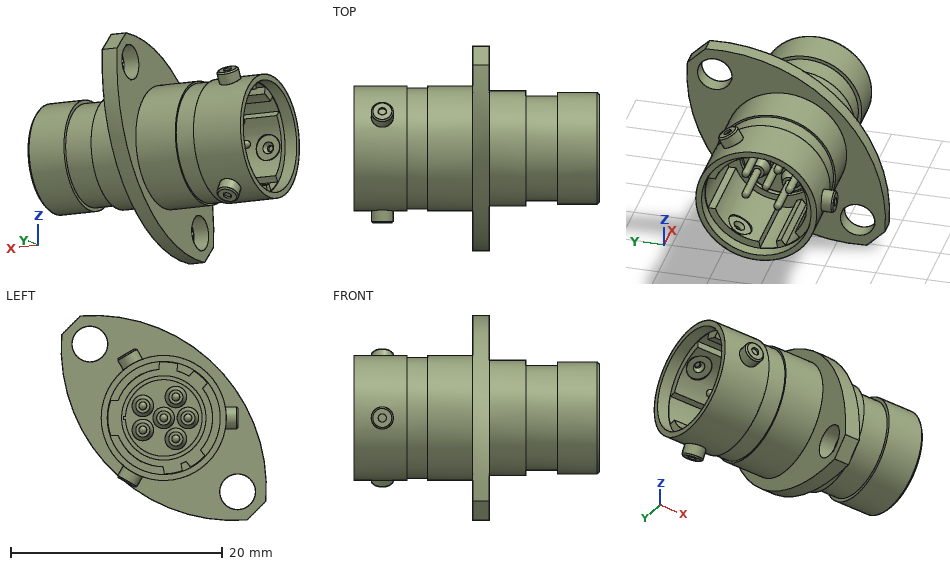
import cadquery as cq
import math


TOTAL_LENGTH = 23.3
FRONT_RADIUS = 5.93
FRONT_GROOVE_RADIUS = 5.75
FRONT_GROOVE_START = 5.05
FRONT_GROOVE_END = 7.0
SHOULDER_RADIUS = 5.48
SHOULDER_END = 16.3
REAR_NECK_RADIUS = 4.98
REAR_COLLAR_START = 19.3
REAR_COLLAR_RADIUS = 5.32
REAR_CHAMFER = 0.25

FLANGE_START = 11.25
FLANGE_THICKNESS = 1.6
FLANGE_HALF_SIZE = 9.68
FLANGE_TIP_CUT = 1.79
FLANGE_HALF_WIDTH = 6.98
MOUNT_HOLE_OFFSET = 7.0
MOUNT_HOLE_RADIUS = 1.68

MOUTH_RADIUS = 5.36
MOUTH_DEPTH = 1.25
CAVITY_RADIUS = 4.63
CAVITY_DEPTH = 9.0
KEYWAY_RADIUS = 5.3
KEYWAY_WIDTH = 1.73
KEYWAY_ANGLES = (85, 48, -52, -80)
MAIN_KEYWAY_WIDTH = 3.3
MAIN_KEYWAY_ANGLE = 180

INSERT_GROOVE_OUTER_RADIUS = 4.0
INSERT_GROOVE_INNER_RADIUS = 3.63
INSERT_GROOVE_DEPTH = 0.5
INSERT_KEY_WIDTH = 0.25
INSERT_KEY_HEIGHT = 0.2

PIN_RADIUS = 0.375
PIN_TIP = 3.37
PIN_CIRCLE_RADIUS = 2.29
PIN_ANGLES = (0, 60, 150, -150, -60)
PIN_COLLAR_BASE_RADIUS = 1.02
PIN_COLLAR_TOP_RADIUS = 0.67
PIN_COLLAR_HEIGHT = 1.0

STUD_POSITION = 2.7
STUD_RADIUS = 1.05
STUD_TIP_DISTANCE = 7.05
STUD_CHAMFER = 0.15
STUD_HEAD_RADIUS = 1.26
STUD_HEAD_DISTANCE = 4.7
STUD_SHOULDER_DISTANCE = 5.2
STUD_DIMPLE_RADIUS = 0.39
STUD_DIMPLE_DEPTH = 0.2
STUD_SOCKET_RADIUS = 0.57
STUD_SOCKET_NECK_RADIUS = 0.3
STUD_SOCKET_TAPER_DEPTH = 0.4
STUD_SOCKET_DEPTH = 0.65
STUD_ANGLES = (0, 120, 240)


def place(shape, angle):
    """Turn a shape about the connector axis, from the -Y direction towards +Z."""
    return shape.rotate((0, 0, 0), (1, 0, 0), -angle)


def disc(radius, start, end):
    return cq.Workplane("YZ", origin=(start, 0, 0)).circle(radius).extrude(end - start)


def shell_outside():
    profile = [
        (0, 0),
        (0, FRONT_RADIUS),
        (FRONT_GROOVE_START, FRONT_RADIUS),
        (FRONT_GROOVE_START, FRONT_GROOVE_RADIUS),
        (FRONT_GROOVE_END, FRONT_GROOVE_RADIUS),
        (FRONT_GROOVE_END, FRONT_RADIUS),
        (FLANGE_START, FRONT_RADIUS),
        (FLANGE_START, SHOULDER_RADIUS),
        (SHOULDER_END, SHOULDER_RADIUS),
        (SHOULDER_END, REAR_NECK_RADIUS),
        (REAR_COLLAR_START, REAR_NECK_RADIUS),
        (REAR_COLLAR_START, REAR_COLLAR_RADIUS),
        (TOTAL_LENGTH - REAR_CHAMFER, REAR_COLLAR_RADIUS),
        (TOTAL_LENGTH, REAR_COLLAR_RADIUS - REAR_CHAMFER),
        (TOTAL_LENGTH, 0),
    ]
    return cq.Workplane("XY").polyline(profile).close().revolve(360, (0, 0, 0), (1, 0, 0))


def flange():
    far = FLANGE_HALF_SIZE
    near = FLANGE_HALF_SIZE - FLANGE_TIP_CUT
    bulge = FLANGE_HALF_WIDTH / math.sqrt(2)
    hole = MOUNT_HOLE_OFFSET
    return (
        cq.Workplane("YZ", origin=(FLANGE_START, 0, 0))
        .moveTo(far, near)
        .lineTo(near, far)
        .threePointArc((-bulge, bulge), (-far, -near))
        .lineTo(-near, -far)
        .threePointArc((bulge, -bulge), (far, near))
        .close()
        .pushPoints([(hole, hole), (-hole, -hole)])
        .circle(MOUNT_HOLE_RADIUS)
        .extrude(FLANGE_THICKNESS)
    )


def keyway(width, angle):
    slot = cq.Workplane("XY").box(
        CAVITY_DEPTH, KEYWAY_RADIUS, width, centered=(False, False, True)
    ).translate((0, -KEYWAY_RADIUS, 0))
    return place(slot, angle)


def cavity():
    keyways = keyway(MAIN_KEYWAY_WIDTH, MAIN_KEYWAY_ANGLE)
    for angle in KEYWAY_ANGLES:
        keyways = keyways.union(keyway(KEYWAY_WIDTH, angle))
    keyways = keyways.intersect(disc(KEYWAY_RADIUS, 0, CAVITY_DEPTH))
    bore = disc(CAVITY_RADIUS, 0, CAVITY_DEPTH)
    return bore.union(disc(MOUTH_RADIUS, 0, MOUTH_DEPTH)).union(keyways)


def insert_groove():
    """The ring groove round the insert, less a small key standing out from its inner wall."""
    groove = (
        cq.Workplane("YZ", origin=(CAVITY_DEPTH, 0, 0))
        .circle(INSERT_GROOVE_OUTER_RADIUS)
        .circle(INSERT_GROOVE_INNER_RADIUS)
        .extrude(INSERT_GROOVE_DEPTH)
    )
    key_tip = INSERT_GROOVE_INNER_RADIUS + INSERT_KEY_HEIGHT
    key = cq.Workplane("XY", origin=(CAVITY_DEPTH, 0, 0)).box(
        INSERT_GROOVE_DEPTH, key_tip, INSERT_KEY_WIDTH, centered=(False, False, True)
    )
    return groove.cut(key)


def contact():
    """A round-nosed pin on a conical collar, on the connector axis and rooted in the cavity floor."""
    root = CAVITY_DEPTH + INSERT_GROOVE_DEPTH
    nose_end = PIN_TIP + PIN_RADIUS
    nose_mid = PIN_RADIUS * math.sqrt(0.5)
    collar_top = CAVITY_DEPTH - PIN_COLLAR_HEIGHT
    return (
        cq.Workplane("XY")
        .moveTo(PIN_TIP, 0)
        .threePointArc((nose_end - nose_mid, nose_mid), (nose_end, PIN_RADIUS))
        .lineTo(collar_top, PIN_RADIUS)
        .lineTo(collar_top, PIN_COLLAR_TOP_RADIUS)
        .lineTo(CAVITY_DEPTH, PIN_COLLAR_BASE_RADIUS)
        .lineTo(root, PIN_COLLAR_BASE_RADIUS)
        .lineTo(root, 0)
        .close()
        .revolve(360, (0, 0, 0), (1, 0, 0))
    )


def stud_cylinder(radius, inner, outer):
    """A cylinder pointing along -Y between two distances from the connector axis."""
    plane = cq.Workplane("XZ", origin=(STUD_POSITION, -inner, 0))
    return plane.circle(radius).extrude(outer - inner)


def stud(angle):
    """A riveted stud: chamfered and dimpled outside, with a wider head and a tapered socket inside."""
    shank = stud_cylinder(STUD_RADIUS, STUD_HEAD_DISTANCE, STUD_TIP_DISTANCE)
    shank = shank.faces("<Y").edges().chamfer(STUD_CHAMFER)
    head = stud_cylinder(STUD_HEAD_RADIUS, STUD_HEAD_DISTANCE, STUD_SHOULDER_DISTANCE)
    dimple_floor = STUD_TIP_DISTANCE - STUD_DIMPLE_DEPTH
    dimple = stud_cylinder(STUD_DIMPLE_RADIUS, dimple_floor, STUD_TIP_DISTANCE)
    socket_floor = STUD_HEAD_DISTANCE + STUD_SOCKET_DEPTH
    socket = stud_cylinder(STUD_SOCKET_NECK_RADIUS, STUD_HEAD_DISTANCE, socket_floor)
    socket_taper = cq.Workplane(cq.Solid.makeCone(
        STUD_SOCKET_RADIUS,
        STUD_SOCKET_NECK_RADIUS,
        STUD_SOCKET_TAPER_DEPTH,
        cq.Vector(STUD_POSITION, -STUD_HEAD_DISTANCE, 0),
        cq.Vector(0, -1, 0),
    ))
    return place(shank.union(head).cut(dimple).cut(socket).cut(socket_taper), angle)


def stud_hole(angle):
    """A stepped hole for a stud, started inside the cavity so that it opens fully into it."""
    inside = CAVITY_RADIUS - STUD_HEAD_RADIUS
    counterbore = stud_cylinder(STUD_HEAD_RADIUS, inside, STUD_SHOULDER_DISTANCE)
    return place(stud_cylinder(STUD_RADIUS, inside, STUD_TIP_DISTANCE).union(counterbore), angle)


shell = shell_outside().union(flange()).cut(cavity()).cut(insert_groove())
for pin_angle in PIN_ANGLES:
    shell = shell.union(place(contact().translate((0, -PIN_CIRCLE_RADIUS, 0)), pin_angle))
shell = shell.union(contact())
for stud_angle in STUD_ANGLES:
    shell = shell.cut(stud_hole(stud_angle))

studs = [stud(stud_angle) for stud_angle in STUD_ANGLES]

result = cq.Compound.makeCompound([shell.val(), *[one_stud.val() for one_stud in studs]])